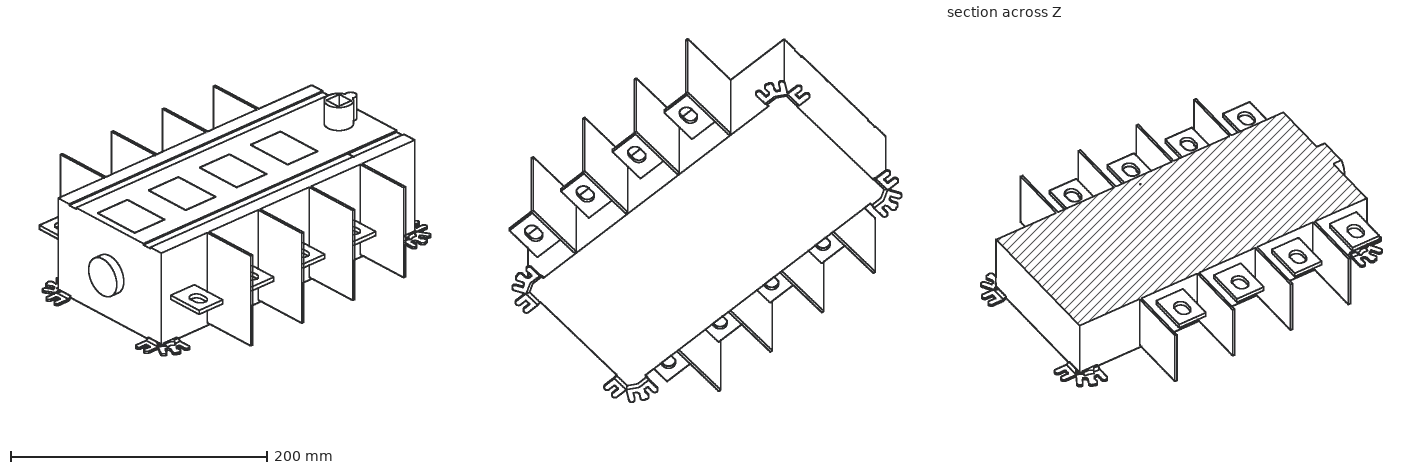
import cadquery as cq

overall_width = 220.0
overall_length = 298.0
overall_height = 105.5

body_width = 119.2
body_length = 268.2
body_height = 83.0

pole_count = 4
pole_pitch = 54.0
first_barrier_y = 77.2
first_pole_y = first_barrier_y - pole_pitch / 2
axis_z = 40.0

barrier_thickness = 2.0
barrier_bottom_z = 2.7

terminal_span = 184.8
terminal_width = 25.0
terminal_thickness = 3.5
terminal_slot_x = 77.8
terminal_slot_length = 15.5
terminal_slot_width = 11.0

window_width = 43.0
window_length = 31.5
window_depth = 0.3
groove_x = 43.0
groove_width = 8.0
groove_depth = 1.2
groove_step_y = 82.2
groove_step_depth = 0.3

shaft_y = 108.2
shaft_diameter = 23.0
lobe_y = 120.7
lobe_diameter = 9.5
socket_side = 13.7

boss_diameter = 32.5
boss_length = 7.5

foot_thickness = 1.8
foot_width = 14.0
foot_notch_width = 4.5
foot_notch_depth = 8.0
foot_bend_start = 12.2
foot_bend_end = 14.5
foot_length = 19.5
end_foot_x = 52.0
side_foot_tip_x = 76.0
side_foot_y = 125.0
corner_foot_tip_x = 72.7
corner_foot_tip_y = 136.8
corner_foot_angle = 30

shaft_length = overall_height - foot_thickness - body_height


def block(size_x, size_y, size_z, centre_x, centre_y, bottom_z):
    return (
        cq.Workplane("XY")
        .box(size_x, size_y, size_z, centered=(True, True, False))
        .translate((centre_x, centre_y, bottom_z))
    )


def cylinder(diameter, height, y, bottom_z):
    return cq.Workplane("XY").circle(diameter / 2).extrude(height).translate((0, y, bottom_z))


def make_barrier(y):
    return block(overall_width, barrier_thickness, body_height - barrier_bottom_z, 0, y, barrier_bottom_z)


def make_terminal(y):
    bar = cq.Workplane("XY").box(terminal_span, terminal_width, terminal_thickness)
    slots = (
        cq.Workplane("XY")
        .pushPoints([(-terminal_slot_x, 0), (terminal_slot_x, 0)])
        .slot2D(terminal_slot_length, terminal_slot_width)
        .extrude(terminal_thickness, both=True)
    )
    return bar.cut(slots).translate((0, y, axis_z))


def make_shaft():
    shaft = cylinder(shaft_diameter, shaft_length, shaft_y, body_height)
    lobe = cylinder(lobe_diameter, shaft_length, lobe_y, body_height)
    socket = block(socket_side, socket_side, shaft_length, 0, shaft_y, body_height)
    return shaft.union(lobe).cut(socket)


def make_foot():
    """Fork with its tip line at the origin, pointing along +X."""
    sheet = (
        cq.Workplane("XZ")
        .moveTo(0, -foot_thickness)
        .lineTo(0, 0)
        .lineTo(-foot_bend_start, 0)
        .lineTo(-foot_bend_end, foot_thickness)
        .lineTo(-foot_length, foot_thickness)
        .lineTo(-foot_length, 0)
        .lineTo(-foot_bend_end, 0)
        .lineTo(-foot_bend_start, -foot_thickness)
        .close()
        .extrude(foot_width / 2, both=True)
    )
    half_width = foot_width / 2
    half_notch = foot_notch_width / 2
    tip_radius = (half_width - half_notch) / 2
    fork = (
        cq.Workplane("XY", origin=(0, 0, -foot_thickness))
        .moveTo(-foot_length, -half_width)
        .lineTo(-tip_radius, -half_width)
        .threePointArc((0, -half_width + tip_radius), (-tip_radius, -half_notch))
        .lineTo(-foot_notch_depth, -half_notch)
        .lineTo(-foot_notch_depth, half_notch)
        .lineTo(-tip_radius, half_notch)
        .threePointArc((0, half_width - tip_radius), (-tip_radius, half_width))
        .lineTo(-foot_length, half_width)
        .close()
        .extrude(2 * foot_thickness)
    )
    return sheet.intersect(fork)


def make_corner_feet():
    """The three feet fanned around the +X +Y corner."""
    end_foot = make_foot().rotate((0, 0, 0), (0, 0, 1), 90).translate((end_foot_x, overall_length / 2, 0))
    side_foot = make_foot().translate((side_foot_tip_x, side_foot_y, 0))
    corner_foot = (
        make_foot()
        .rotate((0, 0, 0), (0, 0, 1), corner_foot_angle)
        .translate((corner_foot_tip_x, corner_foot_tip_y, 0))
    )
    return end_foot.union(side_foot).union(corner_foot)


result = block(body_width, body_length, body_height, 0, 0, 0)

for pole in range(pole_count):
    pole_y = first_pole_y - pole * pole_pitch
    result = result.union(make_barrier(first_barrier_y - pole * pole_pitch))
    result = result.union(make_terminal(pole_y))
    result = result.cut(block(window_width, window_length, window_depth, 0, pole_y, body_height - window_depth))

for x in (-groove_x, groove_x):
    result = result.cut(block(groove_width, body_length, groove_depth, x, 0, body_height - groove_depth))

deep_length = body_length / 2 - groove_step_y
deep_depth = groove_depth + groove_step_depth
deep_y = groove_step_y + deep_length / 2
result = result.cut(block(groove_width, deep_length, deep_depth, groove_x, deep_y, body_height - deep_depth))

result = result.union(make_shaft())
boss = (
    cq.Workplane("XZ", origin=(0, -body_length / 2, axis_z))
    .circle(boss_diameter / 2)
    .extrude(boss_length)
)
result = result.union(boss)

right_feet = make_corner_feet()
right_feet = right_feet.union(right_feet.mirror("XZ"))
result = result.union(right_feet).union(right_feet.mirror("YZ"))